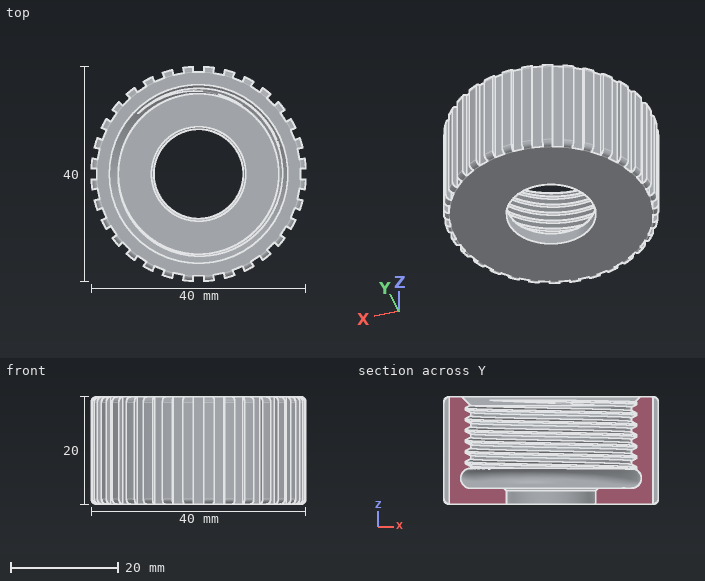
import cadquery as cq
import math

outer_width = 39.95
height = 20.0
edge_fillet = 1.0

slot_count = 32
slot_width = 2.0
slot_depth = 1.0

outer_radius = math.hypot(outer_width / 2, slot_width / 2)

floor_thickness = 3.0
hole_diameter = 16.6
hole_chamfer = 0.48

bore_radius = 14.95
mouth_radius = 16.6
relief_radius = 1.85

thread_start_z = 4.75
pitch = 2.0
thread_depth = 1.0
crest_flat = 0.68
flank_angle = 27.0
overlap = 0.2

relief_center_z = floor_thickness + relief_radius


def cap_body():
    """Solid cylinder with rounded outer edges."""
    return cq.Workplane("XY").circle(outer_radius).extrude(height).edges().fillet(edge_fillet)


def grip_slots():
    """Straight slots that leave the ribs standing."""
    return (
        cq.Workplane("XY")
        .polarArray(outer_width / 2, 0, 360, slot_count)
        .rect(2 * slot_depth, slot_width)
        .extrude(height)
    )


def bore():
    """Bore with a conical mouth at the top and a round relief groove above the floor."""
    mouth_chamfer = mouth_radius - bore_radius
    return (
        cq.Workplane("XZ")
        .moveTo(0, floor_thickness)
        .lineTo(bore_radius, floor_thickness)
        .threePointArc(
            (bore_radius + relief_radius, relief_center_z),
            (bore_radius, relief_center_z + relief_radius),
        )
        .lineTo(bore_radius, height - mouth_chamfer)
        .lineTo(mouth_radius, height)
        .lineTo(0, height)
        .close()
        .revolve(360, (0, 0, 0), (0, 1, 0))
        .rotate((0, 0, 0), (0, 0, 1), 180)
    )


def hole():
    """Through hole in the floor, chamfered on the inside."""
    hole_radius = hole_diameter / 2
    return (
        cq.Workplane("XZ")
        .lineTo(hole_radius, 0)
        .lineTo(hole_radius, floor_thickness - hole_chamfer)
        .lineTo(hole_radius + hole_chamfer, floor_thickness)
        .lineTo(0, floor_thickness)
        .close()
        .revolve(360, (0, 0, 0), (0, 1, 0))
    )


def thread_groove():
    """Helical groove that starts inside the relief groove and runs out above the mouth."""
    slope = math.tan(math.radians(flank_angle))
    half_opening = (pitch - crest_flat) / 2
    half_root = half_opening - thread_depth * slope
    half_inner = half_opening + overlap * slope
    inner_radius = bore_radius - overlap
    root_radius = bore_radius + thread_depth
    helix_height = height + pitch - thread_start_z
    path = cq.Wire.makeHelix(pitch, helix_height, bore_radius).moved(
        cq.Location(cq.Vector(0, 0, thread_start_z))
    )
    return (
        cq.Workplane("XZ")
        .polyline(
            [
                (inner_radius, thread_start_z - half_inner),
                (root_radius, thread_start_z - half_root),
                (root_radius, thread_start_z + half_root),
                (inner_radius, thread_start_z + half_inner),
            ]
        )
        .close()
        .sweep(cq.Workplane(path), isFrenet=True)
    )


result = cap_body().cut(bore()).cut(hole()).cut(thread_groove()).cut(grip_slots())